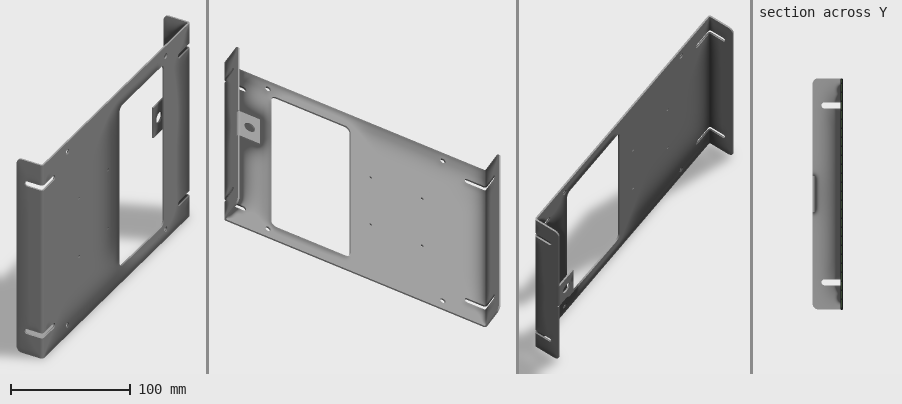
import cadquery as cq

depth = 25.0
length = 251.0
height = 193.0

thickness = 1.5
inner_bend_radius = 1.0
outer_bend_radius = inner_bend_radius + thickness
flange_corner_radius = 5.0

tab_reach = 21.0
tab_height = 30.0
tab_hole_diameter = 10.0
tab_hole_inset = 11.3

slot_width = 5.0
slot_z = 73.8
slot_reach_on_web = 21.0
slot_reach_on_flange = 17.5

window_width = 75.3
window_height = 160.6
window_center_y = 42.7
window_corner_radius = 5.0

corner_hole_diameter = 5.0
corner_hole_spacing_y = 167.2
corner_hole_spacing_z = 173.2
board_hole_diameter = 2.5
board_hole_spacing_y = 49.2
board_hole_spacing_z = 58.2
board_center_y = -39.2

half_depth = depth / 2
half_length = length / 2
web_inner_x = half_depth - thickness


def make_channel():
    """Web with two flanges, bent with concentric inner and outer radii."""
    outer = (
        cq.Workplane("XY")
        .box(depth, length, height)
        .edges("|Z and >X")
        .fillet(outer_bend_radius)
    )
    inner = (
        cq.Workplane("XY")
        .box(depth, length - 2 * thickness, height)
        .edges("|Z and >X")
        .fillet(inner_bend_radius)
        .translate((-thickness, 0, 0))
    )
    return outer.cut(inner).edges("|Y and <X").fillet(flange_corner_radius)


def make_tab_block():
    """Block reaching from the open side to mid depth at the lock tab."""
    return (
        cq.Workplane("XY")
        .box(half_depth, tab_reach, tab_height, centered=(False, False, True))
        .translate((-half_depth, half_length - tab_reach, 0))
    )


def make_tab():
    """L-shaped strip: a piece of the flange, a bend and the folded tab."""
    bend_edge = "|Z and <X and >Y"
    outer = make_tab_block().edges(bend_edge).fillet(outer_bend_radius)
    inner = (
        make_tab_block()
        .edges(bend_edge)
        .fillet(inner_bend_radius)
        .translate((thickness, -thickness, 0))
    )
    hole = (
        cq.Workplane("YZ", origin=(-half_depth, half_length - tab_hole_inset, 0))
        .circle(tab_hole_diameter / 2)
        .extrude(thickness)
    )
    return outer.cut(inner).cut(hole)


def make_bend_slot(side, z):
    """Round-ended slot in the web and flange, joined around the bend at side * Y."""
    web_length = 2 * slot_reach_on_web
    web_slot = (
        cq.Workplane("YZ", origin=(half_depth - outer_bend_radius, side * half_length, z))
        .slot2D(web_length, slot_width)
        .extrude(outer_bend_radius)
    )
    flange_length = 2 * slot_reach_on_flange
    flange_slot = (
        cq.Workplane("XZ", origin=(half_depth, side * half_length, z))
        .slot2D(flange_length, slot_width)
        .extrude(side * outer_bend_radius)
    )
    return web_slot.union(flange_slot)


def make_web_holes(diameter, spacing_y, spacing_z, center_y):
    """Four holes through the web on a rectangle centred at center_y."""
    return (
        cq.Workplane("YZ", origin=(web_inner_x, center_y, 0))
        .rarray(spacing_y, spacing_z, 2, 2)
        .circle(diameter / 2)
        .extrude(thickness)
    )


def make_window():
    return (
        cq.Workplane("XY")
        .box(thickness, window_width, window_height)
        .edges("|X")
        .fillet(window_corner_radius)
        .translate((half_depth - thickness / 2, window_center_y, 0))
    )


result = make_channel().cut(make_tab_block()).union(make_tab())

for side in (-1, 1):
    for slot_center_z in (-slot_z, slot_z):
        result = result.cut(make_bend_slot(side, slot_center_z))

result = result.cut(make_window())
result = result.cut(
    make_web_holes(corner_hole_diameter, corner_hole_spacing_y, corner_hole_spacing_z, 0)
)
result = result.cut(
    make_web_holes(board_hole_diameter, board_hole_spacing_y, board_hole_spacing_z, board_center_y)
)